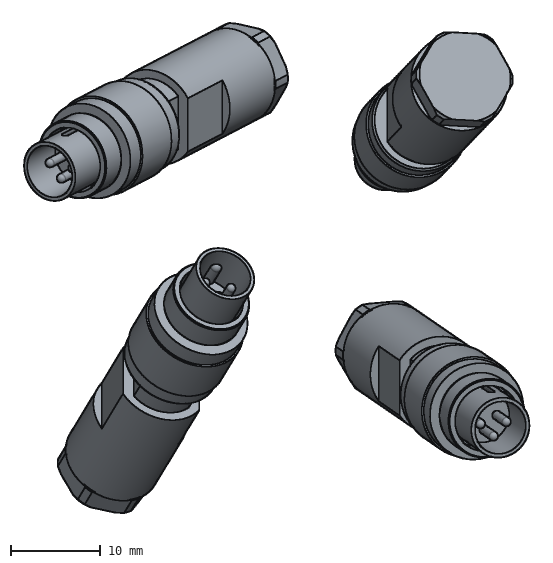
import cadquery as cq
import math

total_length = 40
plug_end = -total_length / 2
nut_end = total_length / 2

nut_front = 17.1
body_front = 1.05
coupling_back = -1.95
grip_back = -4.1
grip_front = -9.95
coupling_front = -12.05
collar_back = -12.25
collar_front = -15.5

body_radius = 5.5
nut_across_flats = 10
nut_chamfer_radial = 0.3
nut_chamfer_axial = 0.3
nut_front_chamfer = 0.1

body_flat_width = 9.05
body_flat_back = 8
neck_radius = 4.5
neck_flat_width = 6.5

grip_radius = 5.75
coupling_chamfer = 0.25
undercut_radius = 4.1
collar_radius = 4.5
collar_chamfer = 0.1
collar_bore_radius = 3.75
collar_bore_depth = 2.4

sleeve_radius = 3.45
sleeve_bore_radius = 3.0
socket_depth = 5.6
pin_radius = 0.5
pin_circle_radius = 1.5
pin_length = 3.75
pin_angles = (0, 180, 270)

key_tip = -17.3
key_groove_radius = 0.4
key_bottom_fillet = 0.35
key_wall = 0.3
key_rib_radius = key_groove_radius + key_wall
key_height = 3.1

socket_floor = plug_end + socket_depth
collar_bore_floor = collar_front + collar_bore_depth


def rod(radius, start, end, x=0, z=0):
    """Cylinder parallel to Y between two stations, start < end."""
    axis_start = cq.Vector(x, start, z)
    return cq.Workplane(cq.Solid.makeCylinder(radius, end - start, axis_start, cq.Vector(0, 1, 0)))


def domed_rod(radius, tip, end, x=0, z=0):
    """Rod whose -Y end is a hemisphere reaching to the tip."""
    dome_center = tip + radius
    dome = cq.Workplane("XY").sphere(radius).translate((x, dome_center, z))
    return rod(radius, dome_center, end, x, z).union(dome)


def flatted(solid, width, start, end):
    """Trim the solid to a width in X between two stations."""
    slab_size = 2 * grip_radius
    flats = rod(grip_radius, start, end)
    middle = cq.Workplane("XY").box(width, total_length * 2, slab_size)
    return solid.cut(flats.cut(middle))


def make_nut():
    """Hexagon with flats facing +Z and -Z, turned corners and chamfered ends."""
    length = nut_end - nut_front
    corner_diameter = nut_across_flats / math.cos(math.radians(30))
    hexagon = cq.Workplane("XZ", origin=(0, nut_end, 0)).polygon(6, corner_diameter).extrude(length)
    turned = (
        rod(body_radius, nut_front, nut_end)
        .faces(">Y").chamfer(nut_chamfer_axial, nut_chamfer_radial)
        .faces("<Y").chamfer(nut_front_chamfer)
    )
    return hexagon.intersect(turned)


def make_body():
    body = flatted(rod(body_radius, body_front, nut_front), body_flat_width, body_front, body_flat_back)
    neck = flatted(rod(neck_radius, coupling_back, body_front), neck_flat_width, coupling_back, body_front)
    return body.union(neck)


def make_coupling():
    ring = rod(body_radius, coupling_front, coupling_back).faces(">Y").chamfer(coupling_chamfer)
    grip = rod(grip_radius, grip_front, grip_back)
    undercut = rod(undercut_radius, collar_back, coupling_front)
    collar = rod(collar_radius, collar_front, collar_back).faces("<Y or >Y").chamfer(collar_chamfer)
    bore = rod(collar_bore_radius, collar_front, collar_bore_floor)
    return ring.union(grip).union(undercut).union(collar.cut(bore))


def make_key_rib():
    """Domed rib inside the sleeve, kept within the sleeve's outer surface."""
    rib = domed_rod(key_rib_radius, key_tip - key_wall, socket_floor, z=key_height)
    return rib.intersect(rod(sleeve_radius, plug_end, socket_floor))


def make_key_groove():
    """Round-ended groove with a rounded bottom, open to the outside of the sleeve."""
    bottom_height = key_height - key_groove_radius
    round_end_start = key_tip + key_groove_radius
    return (
        cq.Workplane("XY", origin=(0, 0, bottom_height))
        .moveTo(-key_groove_radius, collar_bore_floor)
        .lineTo(-key_groove_radius, round_end_start)
        .threePointArc((0, key_tip), (key_groove_radius, round_end_start))
        .lineTo(key_groove_radius, collar_bore_floor)
        .close()
        .extrude(collar_bore_radius - bottom_height)
        .faces("<Z").edges("not >Y").fillet(key_bottom_fillet)
    )


def make_plug():
    sleeve = rod(sleeve_radius, plug_end, collar_bore_floor)
    plug = sleeve.cut(rod(sleeve_bore_radius, plug_end, socket_floor))
    plug = plug.union(make_key_rib()).cut(make_key_groove())
    for angle in pin_angles:
        x = pin_circle_radius * math.cos(math.radians(angle))
        z = pin_circle_radius * math.sin(math.radians(angle))
        plug = plug.union(domed_rod(pin_radius, socket_floor - pin_length, socket_floor, x, z))
    return plug


result = make_nut().union(make_body()).union(make_coupling()).union(make_plug())